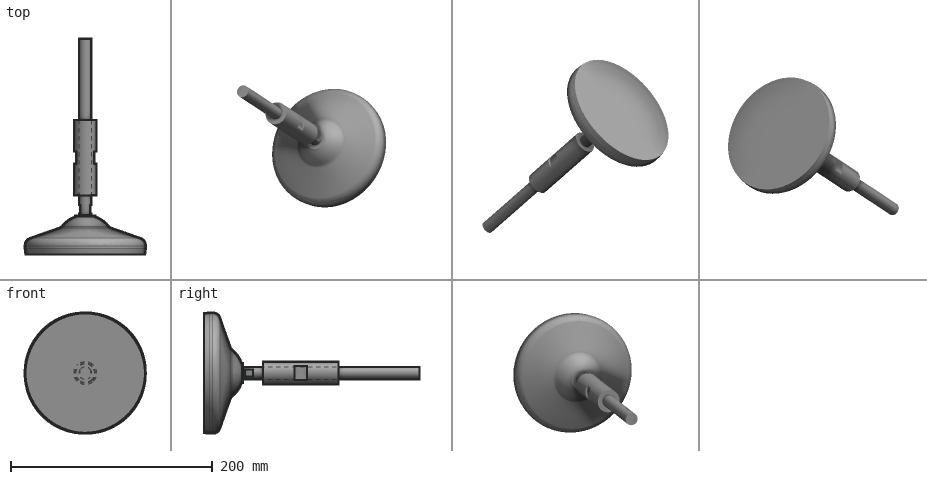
import cadquery as cq
import math

TOTAL_LENGTH = 214.0

FOOT_RADIUS = 60.03
SOLE_RADIUS = 59.3
SOLE_TAPER_HEIGHT = 5.8
SHOULDER_HEIGHT = 14.3
SHOULDER_FILLET = 8.0
CONE_TOP_RADIUS = 24.0
CONE_TOP_HEIGHT = 27.0
CONE_DOME_FILLET = 4.7
DOME_RADIUS = 29.5
LIP_BASE_RADIUS = 9.2
LIP_RADIUS = 10.0
LIP_HEIGHT = 38.7
NECK_HEIGHT = 39.4

SPINDLE_RADIUS = 6.2
SPINDLE_FLAT_WIDTH = 10.0
SPINDLE_FLAT_LENGTH = 8.3
SPINDLE_FLAT_START = 40.7

SLEEVE_RADIUS = 11.3
SLEEVE_LENGTH = 75.0
SLEEVE_START = 58.6
SLEEVE_FLAT_WIDTH = 18.0
SLEEVE_FLAT_LENGTH = 12.0


def cylinder(radius, start, length):
    """Cylinder along +Y that begins at Y = start."""
    axis_start = cq.Vector(0, start, 0)
    return cq.Workplane(cq.Solid.makeCylinder(radius, length, axis_start, cq.Vector(0, 1, 0)))


def cut_wrench_flats(body, radius, width, start, length):
    """Cut two parallel flats facing -X and +X, the given width apart."""
    depth = radius - width / 2
    for side in (-1, 1):
        cutter = (
            cq.Workplane()
            .box(depth, length, 2 * radius)
            .translate((side * (width + depth) / 2, start + length / 2, 0))
        )
        body = body.cut(cutter)
    return body


def make_foot():
    """Tapered sole, conical shoulder, spherical dome, lip and short neck."""
    dome_center = CONE_TOP_HEIGHT - math.sqrt(DOME_RADIUS**2 - CONE_TOP_RADIUS**2)

    def dome_height(radius):
        return dome_center + math.sqrt(DOME_RADIUS**2 - radius**2)

    dome_middle_radius = (CONE_TOP_RADIUS + LIP_BASE_RADIUS) / 2
    foot = (
        cq.Workplane("XY")
        .lineTo(SOLE_RADIUS, 0)
        .lineTo(FOOT_RADIUS, SOLE_TAPER_HEIGHT)
        .lineTo(FOOT_RADIUS, SHOULDER_HEIGHT)
        .lineTo(CONE_TOP_RADIUS, CONE_TOP_HEIGHT)
        .threePointArc(
            (dome_middle_radius, dome_height(dome_middle_radius)),
            (LIP_BASE_RADIUS, dome_height(LIP_BASE_RADIUS)),
        )
        .lineTo(LIP_RADIUS, LIP_HEIGHT)
        .lineTo(SPINDLE_RADIUS, LIP_HEIGHT)
        .lineTo(SPINDLE_RADIUS, NECK_HEIGHT)
        .lineTo(0, NECK_HEIGHT)
        .close()
        .revolve(360, (0, 0, 0), (0, 1, 0))
    )
    foot = fillet_ring(foot, FOOT_RADIUS, SHOULDER_HEIGHT, SHOULDER_FILLET)
    return fillet_ring(foot, CONE_TOP_RADIUS, CONE_TOP_HEIGHT, CONE_DOME_FILLET)


def fillet_ring(body, ring_radius, height, fillet_radius):
    """Round the circular edge of the given radius at Y = height."""
    margin = 0.2
    reach = ring_radius + margin
    ring = cq.selectors.BoxSelector(
        (-reach, height - margin, -reach), (reach, height + margin, reach), boundingbox=True
    )
    return body.edges(ring).fillet(fillet_radius)


def make_spindle():
    """Plain rod standing on the neck, with wrench flats near its lower end."""
    rod = cylinder(SPINDLE_RADIUS, NECK_HEIGHT, TOTAL_LENGTH - NECK_HEIGHT)
    return cut_wrench_flats(
        rod, SPINDLE_RADIUS, SPINDLE_FLAT_WIDTH, SPINDLE_FLAT_START, SPINDLE_FLAT_LENGTH
    )


def make_sleeve():
    """Tube around the spindle, with wrench flats at mid-length."""
    tube = cylinder(SLEEVE_RADIUS, SLEEVE_START, SLEEVE_LENGTH)
    tube = tube.cut(cylinder(SPINDLE_RADIUS, SLEEVE_START, SLEEVE_LENGTH))
    flat_start = SLEEVE_START + (SLEEVE_LENGTH - SLEEVE_FLAT_LENGTH) / 2
    return cut_wrench_flats(tube, SLEEVE_RADIUS, SLEEVE_FLAT_WIDTH, flat_start, SLEEVE_FLAT_LENGTH)


foot = make_foot()
spindle = make_spindle()
sleeve = make_sleeve()

result = cq.Compound.makeCompound([foot.solids().val(), spindle.solids().val(), sleeve.solids().val()])